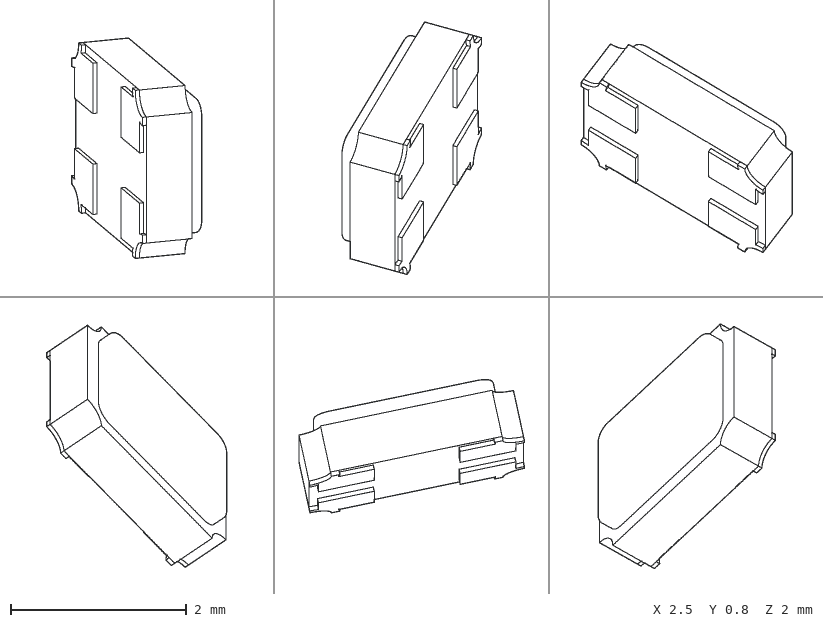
import cadquery as cq

length = 2.5
width = 2.0
depth = 0.8

pad_thickness = 0.05
lid_height = 0.2
base_depth = depth - pad_thickness - lid_height

notch_radius = 0.25

lid_inset = 0.2
lid_corner_radius = 0.2
lid_edge_radius = 0.05

pad_inset = 0.1
pad_length = 0.65
pad_width = 0.6
collar_radius = notch_radius + 0.1

pad_face_y = -depth / 2
base_face_y = pad_face_y + pad_thickness
lid_face_y = base_face_y + base_depth


def block_along_y(size_x, size_z, start_y, size_y):
    """Block centred on the Y axis, running from start_y toward +Y."""
    return cq.Workplane("XY").box(size_x, size_y, size_z).translate((0, start_y + size_y / 2, 0))


def corner_cylinder(side_x, side_z, radius, start_y, size_y):
    """Cylinder along Y, centred on one corner of the package outline."""
    return (
        cq.Workplane("XZ", origin=(side_x * length / 2, start_y, side_z * width / 2))
        .circle(radius)
        .extrude(-size_y)
    )


def make_housing():
    """Ceramic base with notched corners, carrying a rounded lid."""
    base = block_along_y(length, width, base_face_y, base_depth)
    for side_x, side_z in corners:
        base = base.cut(corner_cylinder(side_x, side_z, notch_radius, base_face_y, base_depth))

    lid = block_along_y(length - 2 * lid_inset, width - 2 * lid_inset, lid_face_y, lid_height)
    lid = lid.edges("|Y").fillet(lid_corner_radius)
    lid = lid.faces(">Y").edges().fillet(lid_edge_radius)
    return base.union(lid)


def make_pad(side_x, side_z):
    """Solder pad at the corner given by the signs side_x and side_z."""
    center_x = side_x * (length / 2 - pad_inset - pad_length / 2)
    center_z = side_z * (width / 2 - pad_inset - pad_width / 2)
    plate = block_along_y(pad_length, pad_width, pad_face_y, pad_thickness).translate((center_x, 0, center_z))

    outline = block_along_y(length, width, pad_face_y, pad_thickness)
    collar = corner_cylinder(side_x, side_z, collar_radius, pad_face_y, pad_thickness).intersect(outline)
    notch = corner_cylinder(side_x, side_z, notch_radius, pad_face_y, pad_thickness)
    return plate.union(collar).cut(notch)


corners = [(side_x, side_z) for side_x in (-1, 1) for side_z in (-1, 1)]

housing = make_housing()
pads = [make_pad(side_x, side_z) for side_x, side_z in corners]

result = cq.Compound.makeCompound([housing.val(), *[pad.val() for pad in pads]])